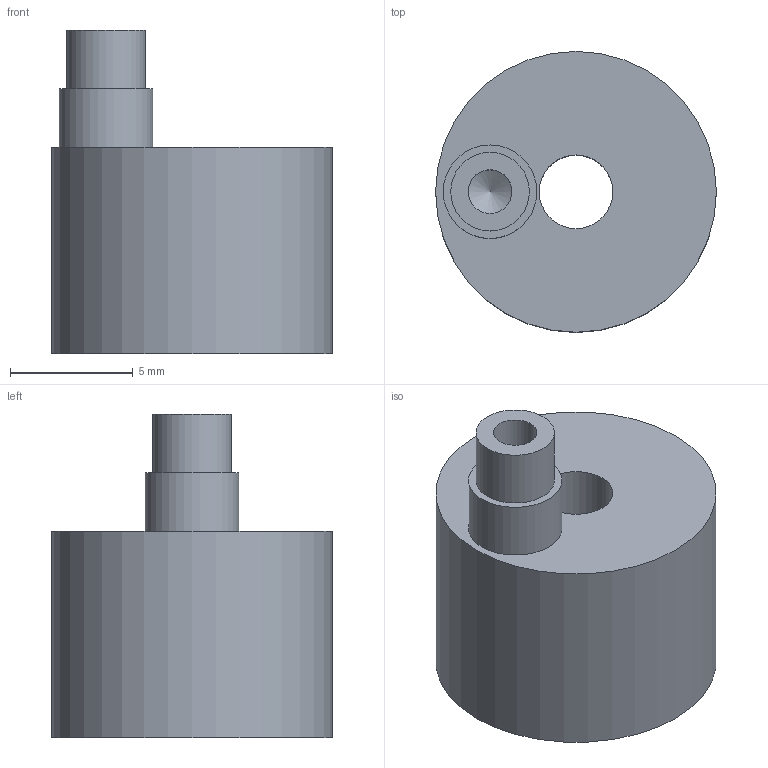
import cadquery as cq
import math

BODY_DIAMETER = 11.43
BODY_HEIGHT = 8.39
BORE_DIAMETER = 3.0

PIN_OFFSET = 3.5
PIN_BASE_DIAMETER = 3.81
PIN_TIP_DIAMETER = 3.2
PIN_STEP_HEIGHT = 2.38

PIN_HOLE_DIAMETER = 1.78
PIN_HOLE_DEPTH = 2 * PIN_STEP_HEIGHT
DRILL_POINT_ANGLE = 118.0

PIN_TOP = BODY_HEIGHT + 2 * PIN_STEP_HEIGHT


def make_body():
    """Cylinder with its central bore, sitting on the XY plane."""
    return (
        cq.Workplane("XY")
        .circle(BODY_DIAMETER / 2)
        .circle(BORE_DIAMETER / 2)
        .extrude(BODY_HEIGHT)
    )


def make_pin_step(diameter, base_height):
    """One cylindrical step of the eccentric pin."""
    return (
        cq.Workplane("XY", origin=(-PIN_OFFSET, 0, base_height))
        .circle(diameter / 2)
        .extrude(PIN_STEP_HEIGHT)
    )


def make_pin_hole():
    """Drill-shaped cutter: a half profile revolved about the pin axis."""
    radius = PIN_HOLE_DIAMETER / 2
    point_length = radius / math.tan(math.radians(DRILL_POINT_ANGLE / 2))
    return (
        cq.Workplane("XZ", origin=(-PIN_OFFSET, 0, PIN_TOP))
        .moveTo(0, 0)
        .lineTo(radius, 0)
        .lineTo(radius, -PIN_HOLE_DEPTH)
        .lineTo(0, -PIN_HOLE_DEPTH - point_length)
        .close()
        .revolve(360, (0, 0, 0), (0, 1, 0))
    )


pin_base = make_pin_step(PIN_BASE_DIAMETER, BODY_HEIGHT)
pin_tip = make_pin_step(PIN_TIP_DIAMETER, BODY_HEIGHT + PIN_STEP_HEIGHT)

result = make_body().union(pin_base).union(pin_tip).cut(make_pin_hole())